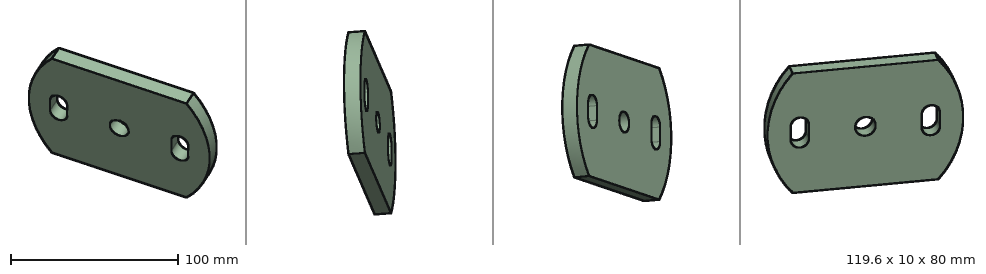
import cadquery as cq

plate_length = 119.6
plate_height = 80.0
plate_thickness = 10.0

centre_hole_diameter = 12.4

slot_spacing = 80.0
slot_height = 20.0
slot_width = 11.1


def make_plate():
    """Disc trimmed to the plate height, centred on the origin."""
    disc = cq.Workplane("XZ").circle(plate_length / 2).extrude(plate_thickness / 2, both=True)
    trim = cq.Workplane("XY").box(plate_length, plate_thickness, plate_height)
    return disc.intersect(trim)


def cut_centre_hole(plate):
    """Plain round hole through the middle of the plate."""
    return plate.faces("<Y").workplane(centerOption="CenterOfBoundBox").hole(centre_hole_diameter)


def cut_slots(plate):
    """Pair of upright round-ended slots through the plate."""
    slot_centres = [(-slot_spacing / 2, 0), (slot_spacing / 2, 0)]
    return (
        plate.faces("<Y")
        .workplane(centerOption="CenterOfBoundBox")
        .pushPoints(slot_centres)
        .slot2D(slot_height, slot_width, angle=90)
        .cutThruAll()
    )


plate = make_plate()
plate = cut_centre_hole(plate)
result = cut_slots(plate)